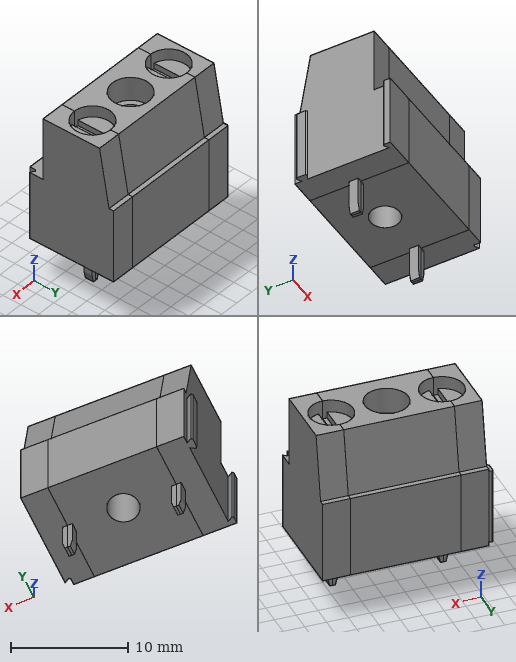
import cadquery as cq


pole_pitch = 5.08
pole_x = pole_pitch
end_length = pole_pitch / 2
housing_right = pole_x + end_length
housing_left = -housing_right
depth = 9.8
height = 13.8
front_ledge_depth = 1.95
front_ledge_height = 7.2
rear_ledge_depth = 0.5
rear_ledge_height = 7.75
rear_top_setback = 1.55

tab_length = 0.6
tab_bevel = 0.13
hook_tip_width = 0.61
hook_root_width = 0.46
dovetail_setback = 0.98
dovetail_y = depth - dovetail_setback
dovetail_tip_width = 0.82
dovetail_root_width = 0.56

hole_y = 5.34
screw_diameter = 4.0
screw_depth = 1.2
slot_width = 0.8
slot_depth = 0.6
mounting_diameter = 2.85
mounting_head_diameter = 4.0
mounting_head_depth = 2.5

pin_width = 0.9
pin_y = 5.21
pin_length = 3.5
pin_taper_length = 0.8
pin_tip_width = 0.5


def housing_block(x_start, x_end):
    """Stepped housing profile extruded along X."""
    profile = [
        (0, 0),
        (depth, 0),
        (depth, rear_ledge_height),
        (depth - rear_ledge_depth, rear_ledge_height),
        (depth - rear_top_setback, height),
        (front_ledge_depth, height),
        (front_ledge_depth, front_ledge_height),
        (0, front_ledge_height),
    ]
    plane = cq.Workplane("YZ", origin=(x_start, 0, 0))
    return plane.polyline(profile).close().extrude(x_end - x_start)


def hook(face_x):
    """Half-dovetail bar at the front corner, reaching from face_x toward -X."""
    tip_x = face_x - tab_length
    outline = [
        (face_x, 0),
        (tip_x, 0),
        (tip_x, hook_tip_width),
        (tip_x + tab_bevel, hook_tip_width + tab_bevel),
        (face_x, hook_root_width),
    ]
    return cq.Workplane("XY").polyline(outline).close().extrude(front_ledge_height)


def dovetail(face_x):
    """Full dovetail bar near the rear, reaching from face_x toward -X."""
    tip_x = face_x - tab_length
    rear_half = [
        (face_x, dovetail_root_width / 2),
        (tip_x + tab_bevel, dovetail_tip_width / 2 + tab_bevel),
        (tip_x, dovetail_tip_width / 2),
    ]
    front_half = [(x, -y) for x, y in reversed(rear_half)]
    plane = cq.Workplane("XY", origin=(0, dovetail_y, 0))
    return plane.polyline(rear_half + front_half).close().extrude(front_ledge_height)


def screw_recess(x):
    """Round recess over a screw, with the driver slot sunk into its floor."""
    floor_z = height - screw_depth
    recess = cq.Workplane("XY", origin=(x, hole_y, floor_z)).circle(screw_diameter / 2).extrude(screw_depth)
    slot_plane = cq.Workplane("XY", origin=(x, hole_y, floor_z - slot_depth))
    slot_blank = slot_plane.rect(slot_width, screw_diameter).extrude(slot_depth)
    slot = slot_plane.circle(screw_diameter / 2).extrude(slot_depth).intersect(slot_blank)
    return recess.union(slot)


def mounting_hole():
    """Through hole with a counterbore for the screw head."""
    hole = cq.Workplane("XY", origin=(0, hole_y, 0)).circle(mounting_diameter / 2).extrude(height)
    head_plane = cq.Workplane("XY", origin=(0, hole_y, height - mounting_head_depth))
    return hole.union(head_plane.circle(mounting_head_diameter / 2).extrude(mounting_head_depth))


def half_pin(x, side):
    """Half of a tapered pin, on the +X (side = 1) or -X (side = -1) half of a pole."""
    taper_z = pin_taper_length - pin_length
    outline = [
        (0, 0),
        (side * pin_width / 2, 0),
        (side * pin_width / 2, taper_z),
        (side * pin_tip_width / 2, -pin_length),
        (0, -pin_length),
    ]
    plane = cq.Workplane("XZ", origin=(x, pin_y, 0))
    return plane.polyline(outline).close().extrude(pin_width / 2, both=True)


left_end = housing_block(housing_left, -pole_x).cut(screw_recess(-pole_x))
left_end = left_end.union(half_pin(-pole_x, -1))
left_end = left_end.union(hook(housing_left)).union(dovetail(housing_left))

middle = housing_block(-pole_x, pole_x).cut(mounting_hole())
for pole_side in (-1, 1):
    middle = middle.cut(screw_recess(pole_side * pole_x))
    middle = middle.union(half_pin(pole_side * pole_x, -pole_side))

right_end = housing_block(pole_x, housing_right).cut(screw_recess(pole_x))
right_end = right_end.union(half_pin(pole_x, 1))
right_end = right_end.cut(hook(housing_right))

result = cq.Compound.makeCompound([left_end.val(), middle.val(), right_end.val()])